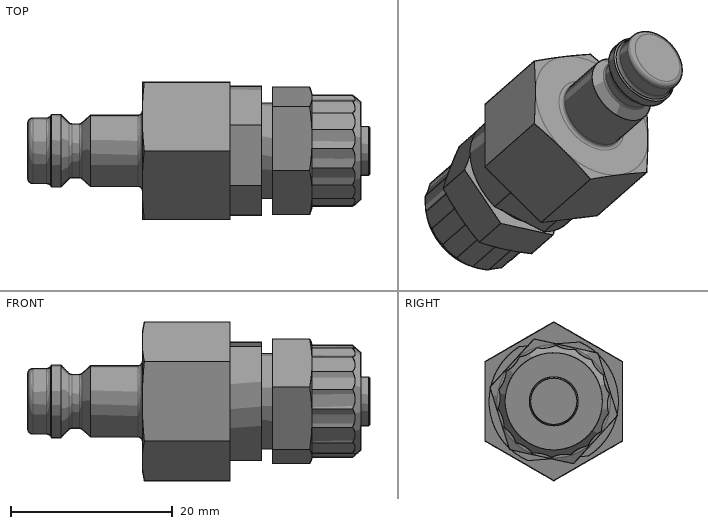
import cadquery as cq
import math

LENGTH = 42.3

TIP_RADIUS = 4.05
TIP_ROUND = 0.68
RAMP_START = 2.33
RAMP_END = 2.85
RAMP_END_RADIUS = 4.27
FLANGE_START = 2.95
FLANGE_END = 4.1
FLANGE_RADIUS = 9.0 / 2
GROOVE_START = 5.1
GROOVE_END = 6.73
GROOVE_RADIUS = 3.35
GROOVE_ROUND = 0.35
GROOVE_ROUND_RISE = 0.13
SHANK_START = 7.8
SHANK_RADIUS = 8.85 / 2
SHANK_ROUND = 0.5

BODY_START = 14.15
BODY_END = 25.05
BODY_WIDTH = 17.0
BODY_CHAMFER = 0.25

COLLAR_END = 28.95
COLLAR_RADIUS = 8.0
COLLAR_FLAT_WIDTH = 14.13
COLLAR_TILT = 4.4
NECK_RADIUS = 5.92

NUT_START = 30.25
NUT_END = 35.15
NUT_WIDTH = 14.0
NUT_CHAMFER = 0.3
NUT_TILT = 17.5

CAP_END = 41.2
CAP_RADIUS = 6.95
CAP_FLUTE_RADIUS = 6.65
CAP_FLUTES = 18
CAP_FIRST_RIDGE = -7.7
CAP_CHAMFER = 1.05
CAP_FACE_RADIUS = 6.0
STUB_RADIUS = 6.05 / 2
STUB_CHAMFER = 0.15


def section(start):
    """Sketch plane across the axis: local x is -Y, local y is +Z, extruding toward -X."""
    return cq.Workplane(cq.Plane((start, 0, 0), (0, -1, 0), (-1, 0, 0)))


def revolve(profile):
    """Turn a closed (x, radius) profile around the X axis."""
    return profile.close().revolve(360, (0, 0, 0), (1, 0, 0))


def cylinder(start, end, radius):
    return section(end).circle(radius).extrude(end - start)


def hexagon(start, end, width, tilt):
    """Hexagonal prism; without tilt two corners point along Z."""
    corner_diameter = width / math.cos(math.pi / 6)
    prism = section(end).polygon(6, corner_diameter).extrude(end - start)
    return prism.rotate((0, 0, 0), (1, 0, 0), 90 + tilt)


def coned_hexagon(start, end, width, tilt, cone_depth, cone_on_start):
    """Hexagon whose corners are turned off by a cone at one end face."""
    corner = width / math.sqrt(3)
    flat = width / 2
    if cone_on_start:
        face, shoulder, other = start, start + cone_depth, end
    else:
        face, shoulder, other = end, end - cone_depth, start
    envelope = revolve(
        cq.Workplane("XY")
        .moveTo(face, 0)
        .lineTo(face, flat)
        .lineTo(shoulder, corner)
        .lineTo(other, corner)
        .lineTo(other, 0)
    )
    return hexagon(start, end, width, tilt).intersect(envelope)


def plug():
    shank_end = BODY_START - SHANK_ROUND
    groove_edge = GROOVE_RADIUS + GROOVE_ROUND_RISE
    groove_arc = (GROOVE_ROUND**2 + GROOVE_ROUND_RISE**2) / (2 * GROOVE_ROUND_RISE)
    tip_corner = (TIP_ROUND, TIP_RADIUS)
    profile = (
        cq.Workplane("XY")
        .lineTo(0, TIP_RADIUS - TIP_ROUND)
        .radiusArc(tip_corner, TIP_ROUND)
        .lineTo(RAMP_START, TIP_RADIUS)
        .tangentArcPoint((RAMP_END, RAMP_END_RADIUS), relative=False)
        .lineTo(FLANGE_START, FLANGE_RADIUS)
        .lineTo(FLANGE_END, FLANGE_RADIUS)
        .lineTo(GROOVE_START, groove_edge)
        .radiusArc((GROOVE_START + GROOVE_ROUND, GROOVE_RADIUS), -groove_arc)
        .lineTo(GROOVE_END - GROOVE_ROUND, GROOVE_RADIUS)
        .radiusArc((GROOVE_END, groove_edge), -groove_arc)
        .lineTo(SHANK_START, SHANK_RADIUS)
        .lineTo(shank_end, SHANK_RADIUS)
        .radiusArc((BODY_START, SHANK_RADIUS + SHANK_ROUND), -SHANK_ROUND)
        .lineTo(BODY_START, 0)
    )
    return revolve(profile)


def collar():
    length = COLLAR_END - BODY_END
    flats = section(COLLAR_END).rect(2 * COLLAR_RADIUS, COLLAR_FLAT_WIDTH).extrude(length)
    flats = flats.rotate((0, 0, 0), (1, 0, 0), COLLAR_TILT)
    return cylinder(BODY_END, COLLAR_END, COLLAR_RADIUS).intersect(flats)


def fluted_cap():
    """Cap with shallow concave flutes meeting at sharp ridges, chamfered at its end."""
    pitch = 360 / CAP_FLUTES

    def rim_point(radius, degrees):
        angle = math.radians(degrees)
        return (radius * math.cos(angle), radius * math.sin(angle))

    outline = section(CAP_END).moveTo(*rim_point(CAP_RADIUS, CAP_FIRST_RIDGE))
    for flute in range(CAP_FLUTES):
        ridge = CAP_FIRST_RIDGE + flute * pitch
        outline = outline.threePointArc(
            rim_point(CAP_FLUTE_RADIUS, ridge + pitch / 2),
            rim_point(CAP_RADIUS, ridge + pitch),
        )
    fluted = outline.close().extrude(CAP_END - NUT_END)
    envelope = revolve(
        cq.Workplane("XY")
        .moveTo(NUT_END, 0)
        .lineTo(NUT_END, CAP_RADIUS)
        .lineTo(CAP_END - CAP_CHAMFER, CAP_RADIUS)
        .lineTo(CAP_END, CAP_FACE_RADIUS)
        .lineTo(CAP_END, 0)
    )
    return fluted.intersect(envelope)


body = coned_hexagon(BODY_START, BODY_END, BODY_WIDTH, 0, BODY_CHAMFER, True)
neck = cylinder(COLLAR_END, NUT_START, NECK_RADIUS)
nut = coned_hexagon(NUT_START, NUT_END, NUT_WIDTH, NUT_TILT, NUT_CHAMFER, False)
stub = cylinder(CAP_END, LENGTH, STUB_RADIUS).faces(">X").chamfer(STUB_CHAMFER)

result = plug()
for piece in (body, collar(), neck, nut, fluted_cap(), stub):
    result = result.union(piece)